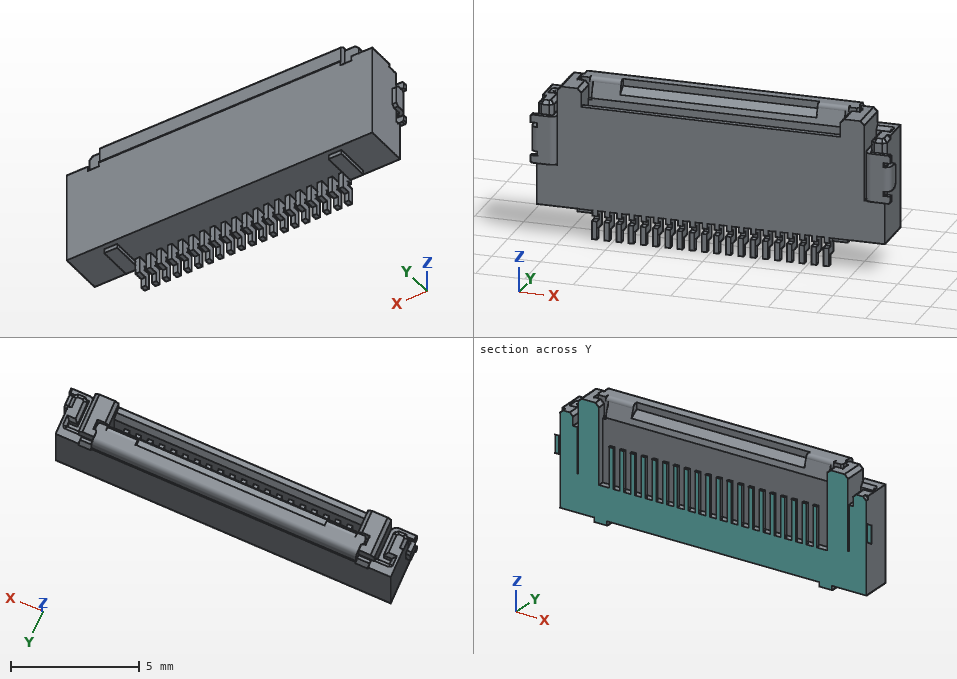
import cadquery as cq


BODY_HALF_WIDTH = 7.14
BODY_DEPTH = 1.98
BODY_BOTTOM = 1.17
SHELF_TOP = 5.45

TOWER_OUTER_X = 6.3
TOWER_INNER_X = 5.31
TOWER_DEPTH = 1.65
TOWER_TOP = 6.18
TOWER_CHAMFER = 0.16

PANEL_TOP = 6.28
PANEL_BACK = 1.93
PANEL_BACK_RADIUS = 0.24
PANEL_FACE_Y = 1.06
PANEL_FACE_HALF_WIDTH = 5.18
PANEL_LIP_RADIUS = 0.18
PANEL_END_X = 5.63
PANEL_BARB_X = 5.72
BARB_CHAMFER = 0.07
BARB_FRONT_Y = 1.17
BARB_BACK_Y = 1.35
POCKET_END_X = 5.8
POCKET_FRONT_Y = 0.96

NOTCH_HALF_WIDTH = 4.03
NOTCH_BACK_Y = 1.31
NOTCH_WALL_BOTTOM = 5.99
NOTCH_RAMP_FRONT_Y = 0.93
NOTCH_RAMP_BOTTOM = 5.74

FRONT_WALL_TOP = 5.43
FRONT_WALL_LAND = 0.24
LEAD_IN_DEPTH = 0.24
SLOT_FRONT_Y = 0.47
SLOT_BACK_Y = 0.85
SLOT_BACK_TOP = 5.5
SLOT_FLOOR = 2.65

RELIEF_OUTER_X = 6.17
RELIEF_CHAMFER = 0.18
RELIEF_STEP = 0.05
RELIEF_FRONT_Y = 1.67

FITTING_BOTTOM = 2.89
FITTING_TOP = 4.9
FITTING_X = 6.33
FITTING_BACK = 1.45
SHEET = 0.19
FITTING_TIP_X = 7.38
FITTING_FRONT = -0.07
FITTING_RADIUS = 0.27
FITTING_BACK_RADIUS = 0.12
FITTING_HOOK_X = 6.87
FITTING_SLOT_BACK = 1.49
ISLAND_FRONT = 0.13
ISLAND_CHAMFER = 0.15
ISLAND_SIDE_CHAMFER_BACK = 0.75
TAB_BOTTOM = 3.38
TAB_TOP = 4.4
TAB_BACK = 0.62
TAB_CORNER = 0.12
TAB_GAP = 0.18
TAB_ROOT_X = 7.1
EAR_CHAMFER = 0.06

CONTACT_FRONT = FITTING_FRONT
CONTACT_COUNT = 20
CONTACT_ROW_LENGTH = 9.5
CONTACT_PITCH = CONTACT_ROW_LENGTH / (CONTACT_COUNT - 1)
CONTACT_WIDTH = 0.2
CONTACT_BACK = 0.71
CONTACT_TOP = 4.42
TAIL_BACK = 0.58
TAIL_NECK_Y = 0.22
TAIL_FOOT_BACK = 0.18
TAIL_KNEE_BOTTOM = 0.41
TAIL_FOOT_TOP = 0.75
RIB_BOTTOM = 0.95

PAD_OUTER_X = 5.55
PAD_INNER_X = 4.94
PAD_FRONT = 0.19
PAD_BACK = 1.74
PAD_BOTTOM = 0.97


def block(x0, x1, y0, y1, z0, z1):
    """Box between two opposite corners."""
    return cq.Workplane("XY").box(x1 - x0, y1 - y0, z1 - z0, centered=False).translate((x0, y0, z0))


def along_x(points, half_length):
    """(Y, Z) outline extruded symmetrically about the middle of the connector."""
    return cq.Workplane("YZ").polyline(points).close().extrude(half_length, both=True)


def both_ends(left_part):
    """The left-hand part together with its mirror image."""
    return left_part.union(left_part.mirror("YZ"))


def make_housing():
    """Block with end towers, mating slot and rear panel."""
    base = block(-BODY_HALF_WIDTH, BODY_HALF_WIDTH, 0, BODY_DEPTH, BODY_BOTTOM, SHELF_TOP)
    base = base.cut(both_ends(make_fitting_recess())).union(both_ends(make_island()))
    tower = block(-TOWER_OUTER_X, -TOWER_INNER_X, 0, TOWER_DEPTH, SLOT_FLOOR, TOWER_TOP)
    tower = tower.edges(">Z and |Y").chamfer(TOWER_CHAMFER)
    front_trim = block(
        -TOWER_INNER_X, TOWER_INNER_X, 0, PANEL_FACE_Y, FRONT_WALL_TOP, SHELF_TOP
    )
    slot = along_x(
        [
            (FRONT_WALL_LAND, FRONT_WALL_TOP),
            (SLOT_FRONT_Y, FRONT_WALL_TOP - LEAD_IN_DEPTH),
            (SLOT_FRONT_Y, SLOT_FLOOR),
            (SLOT_BACK_Y, SLOT_FLOOR),
            (SLOT_BACK_Y, FRONT_WALL_TOP),
        ],
        TOWER_INNER_X,
    )
    panel_pocket = block(
        -POCKET_END_X, POCKET_END_X, POCKET_FRONT_Y, BARB_BACK_Y, FRONT_WALL_TOP, TOWER_TOP
    )
    housing = base.union(both_ends(tower)).cut(front_trim).cut(slot).cut(panel_pocket)
    return housing.union(make_panel()).cut(make_rear_reliefs())


def make_panel():
    """Upright plate with barbed ends in the tower pockets and a guide slope above the slot."""
    end_outline = [
        (0, PANEL_BACK),
        (-PANEL_END_X, PANEL_BACK),
        (-PANEL_END_X, BARB_BACK_Y + BARB_CHAMFER),
        (-PANEL_BARB_X, BARB_BACK_Y),
        (-PANEL_BARB_X, BARB_FRONT_Y),
        (-PANEL_BARB_X + BARB_CHAMFER, PANEL_FACE_Y),
        (0, PANEL_FACE_Y),
    ]
    plate = (
        cq.Workplane("XY", origin=(0, 0, SLOT_FLOOR))
        .polyline(end_outline)
        .close()
        .extrude(PANEL_TOP - SLOT_FLOOR)
    )
    plate = both_ends(plate).edges(">Y and >Z").fillet(PANEL_BACK_RADIUS)
    lip_z = PANEL_TOP - PANEL_LIP_RADIUS
    lip_corner = block(
        -TOWER_INNER_X,
        TOWER_INNER_X,
        PANEL_FACE_Y,
        PANEL_FACE_Y + PANEL_LIP_RADIUS,
        lip_z,
        PANEL_TOP,
    )
    lip_rod = (
        cq.Workplane("YZ")
        .center(PANEL_FACE_Y + PANEL_LIP_RADIUS, lip_z)
        .circle(PANEL_LIP_RADIUS)
        .extrude(TOWER_INNER_X, both=True)
    )
    slope = along_x(
        [
            (PANEL_FACE_Y, lip_z),
            (SLOT_BACK_Y, SLOT_BACK_TOP),
            (SLOT_BACK_Y, SLOT_FLOOR),
            (PANEL_FACE_Y, SLOT_FLOOR),
        ],
        PANEL_FACE_HALF_WIDTH,
    )
    notch = along_x(
        [
            (NOTCH_BACK_Y, PANEL_TOP),
            (NOTCH_BACK_Y, NOTCH_WALL_BOTTOM),
            (NOTCH_RAMP_FRONT_Y, NOTCH_RAMP_BOTTOM),
            (0, NOTCH_RAMP_BOTTOM),
            (0, PANEL_TOP),
        ],
        NOTCH_HALF_WIDTH,
    )
    return plate.cut(lip_corner.cut(lip_rod)).union(slope).cut(notch)


def make_rear_reliefs():
    """Stepped and bevelled cuts in the rear edge of the shelf, one behind each tower."""
    floor_z = SHELF_TOP - RELIEF_STEP
    relief = along_x(
        [
            (RELIEF_FRONT_Y, SHELF_TOP),
            (RELIEF_FRONT_Y, floor_z),
            (BODY_DEPTH - RELIEF_CHAMFER, floor_z),
            (BODY_DEPTH, floor_z - RELIEF_CHAMFER),
            (BODY_DEPTH, SHELF_TOP),
        ],
        (RELIEF_OUTER_X - PANEL_END_X) / 2,
    )
    return both_ends(relief.translate((-(RELIEF_OUTER_X + PANEL_END_X) / 2, 0, 0)))


def make_fitting_recess():
    """Space cleared for the left island and for the fitting that wraps around it."""
    front = block(
        -BODY_HALF_WIDTH, -TOWER_OUTER_X, 0, ISLAND_SIDE_CHAMFER_BACK, FITTING_BOTTOM, SHELF_TOP
    )
    slot_size = (FITTING_HOOK_X - TOWER_OUTER_X, FITTING_SLOT_BACK)
    slot_center = (-(FITTING_HOOK_X + TOWER_OUTER_X) / 2, FITTING_SLOT_BACK / 2)
    straight = (
        cq.Workplane("XY", origin=(*slot_center, FITTING_BOTTOM))
        .rect(*slot_size)
        .extrude(SHELF_TOP - FITTING_BOTTOM)
    )
    flared_mouth = (
        cq.Workplane("XY", origin=(*slot_center, SHELF_TOP - ISLAND_CHAMFER))
        .rect(*slot_size)
        .extrude(ISLAND_CHAMFER, taper=-45)
    )
    return front.union(straight).union(flared_mouth)


def make_island():
    """Left island, bevelled along its exposed top edges and at its front corners."""
    right_x = -FITTING_X - SHEET
    middle_y = ISLAND_SIDE_CHAMFER_BACK
    back_y = FITTING_BACK - SHEET
    left_x = -FITTING_HOOK_X - ISLAND_CHAMFER
    front = block(-BODY_HALF_WIDTH, right_x, ISLAND_FRONT, middle_y, FITTING_BOTTOM, SHELF_TOP)
    front = front.edges("|Z and <Y").chamfer(ISLAND_CHAMFER)
    front = front.faces(">Z").edges("not >Y").chamfer(ISLAND_CHAMFER)
    back = block(left_x, right_x, middle_y, back_y, FITTING_BOTTOM, SHELF_TOP)
    back = back.edges(">Z and (>X or >Y)").chamfer(ISLAND_CHAMFER)
    return front.union(back)


def make_fitting():
    """Left solder fitting: a bent sheet with a front plate, two ears and a folded tab."""
    height = FITTING_TOP - FITTING_BOTTOM
    plate_back = FITTING_FRONT + SHEET
    wrap = (
        cq.Workplane("XY", origin=(0, 0, FITTING_BOTTOM))
        .moveTo(-FITTING_TIP_X, FITTING_FRONT)
        .lineTo(-FITTING_X - FITTING_RADIUS, FITTING_FRONT)
        .radiusArc((-FITTING_X, FITTING_FRONT + FITTING_RADIUS), -FITTING_RADIUS)
        .lineTo(-FITTING_X, FITTING_BACK - FITTING_BACK_RADIUS)
        .radiusArc((-FITTING_X - FITTING_BACK_RADIUS, FITTING_BACK), -FITTING_BACK_RADIUS)
        .lineTo(-FITTING_HOOK_X, FITTING_BACK)
        .lineTo(-FITTING_HOOK_X, FITTING_BACK - SHEET)
        .lineTo(-FITTING_X - SHEET, FITTING_BACK - SHEET)
        .lineTo(-FITTING_X - SHEET, plate_back)
        .lineTo(-FITTING_TIP_X, plate_back)
        .close()
        .extrude(height)
        .edges("|Y and <X")
        .chamfer(EAR_CHAMFER)
    )
    tab_clearance = block(
        -FITTING_TIP_X,
        -TAB_ROOT_X,
        FITTING_FRONT,
        plate_back,
        TAB_BOTTOM - TAB_GAP,
        TAB_TOP + TAB_GAP,
    )
    tab = (
        block(
            -FITTING_TIP_X, -FITTING_TIP_X + SHEET, FITTING_FRONT, TAB_BACK, TAB_BOTTOM, TAB_TOP
        )
        .edges("|X and >Y")
        .chamfer(TAB_CORNER)
    )
    tab_root = block(
        -FITTING_TIP_X, -TAB_ROOT_X, FITTING_FRONT, plate_back, TAB_BOTTOM, TAB_TOP
    )
    tab = tab.union(tab_root).edges("|Z and <X and <Y").fillet(FITTING_RADIUS)
    return wrap.cut(tab_clearance).union(tab)


def make_contact():
    """One contact centred on X = 0: a blade in the slot, a cranked tail and a rib at its root."""
    half = CONTACT_WIDTH / 2
    tail = along_x(
        [
            (TAIL_BACK, BODY_BOTTOM),
            (TAIL_BACK, TAIL_KNEE_BOTTOM),
            (TAIL_FOOT_BACK, TAIL_KNEE_BOTTOM),
            (TAIL_FOOT_BACK, 0),
            (CONTACT_FRONT, 0),
            (CONTACT_FRONT, TAIL_FOOT_TOP),
            (TAIL_NECK_Y, TAIL_FOOT_TOP),
            (TAIL_NECK_Y, BODY_BOTTOM),
        ],
        half,
    )
    rib = block(-half, half, 0, TAIL_NECK_Y, RIB_BOTTOM, BODY_BOTTOM)
    blade = block(-half, half, SLOT_FRONT_Y, CONTACT_BACK, SLOT_FLOOR, CONTACT_TOP)
    return tail.union(rib).union(blade)


pad = block(-PAD_OUTER_X, -PAD_INNER_X, PAD_FRONT, PAD_BACK, PAD_BOTTOM, BODY_BOTTOM)

result = make_housing().union(both_ends(make_fitting())).union(both_ends(pad))
contact = make_contact()
for index in range(CONTACT_COUNT):
    contact_x = index * CONTACT_PITCH - CONTACT_ROW_LENGTH / 2
    result = result.union(contact.translate((contact_x, 0, 0)))